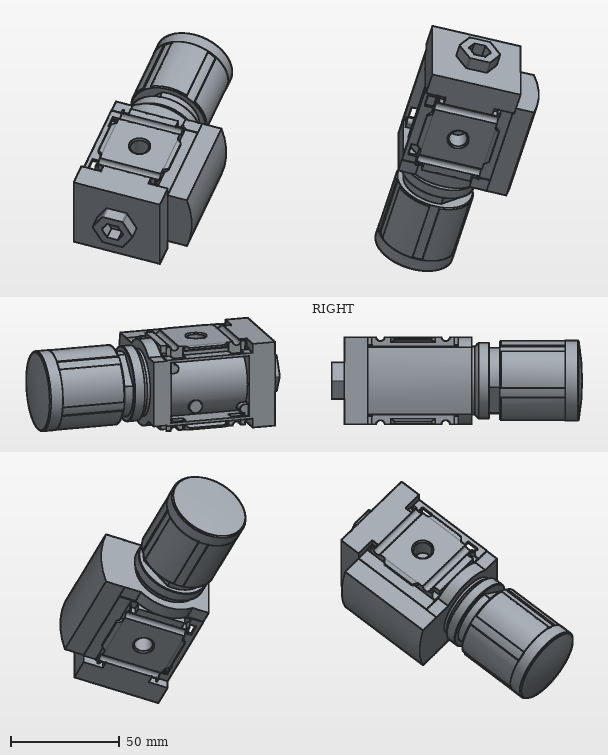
import cadquery as cq
import math


HALF_WIDTH = 21.1
HALF_HEIGHT = 20.1
MIDDLE_HALF_LENGTH = 20.8
SHELF_HALF_HEIGHT = 15.8
BASE_FRONT = -31.6
PLATE_BACK = 27.05
PLATE_HALF_HEIGHT = 15.4

CAP_HALF_HEIGHT = 15.5
CAP_SHOULDER_X = 30.5
CAP_CROWN_X = 32.9

PAD_HALF_WIDTH = 15.0
GROOVE_CENTER_Y = 15.05
GROOVE_WIDTH = 3.9
GROOVE_DEPTH = 1.8
PORT_DIAMETER = 8.57
PORT_MOUTH_DIAMETER = 10.0
PORT_DEPTH = 10.0
RAIL_END_Y = 17.3
CORNER_POCKET_WIDTH = 3.4
CORNER_POCKET_FLOOR_Z = 16.45
CORNER_POST_WIDTH = 1.0
CORNER_POST_LENGTH = 1.7
CORNER_POST_RADIUS = 0.7

TAB_REACH = 2.2
TAB_ROOT_HALF_LENGTH = 10.2
TAB_TIP_HALF_LENGTH = 8.5
TAB_TIP_TOP_Z = 19.65
TAB_TIP_BOTTOM_Z = 18.75
TAB_ROOT_Z = 17.6

WINDOW_FRONT = -19.0
WINDOW_BACK = 18.65
WINDOW_HALF_HEIGHT = 14.44
CORE_DIAMETER = 33.0
CORE_X = -2.2
SLOT_INNER_Y = 11.0
SLOT_OUTER_Y = 17.0
SLOT_OUTER_X = -19.1
SLOT_INNER_X = -14.92
PIN_DIAMETER = 6.1
PIN_END_X = -18.3
PIN_Y = 5.8
PIN_Z = -8.5
LUG_RADIUS = 2.1
LUG_FACE_X = -20.1
LUG_LENGTH = 1.85
LUG_CENTER_Z = 11.0

PLUG_FRONT = -37.5
PLUG_ACROSS_FLATS = 17.0
PLUG_CORNER_RADIUS = 0.6
SOCKET_ACROSS_FLATS = 9.0
SOCKET_DEPTH = 6.0

SPIGOT_RADIUS = 15.8
SPIGOT_BACK = 28.5
COLLAR_RADIUS = 17.5
COLLAR_FRONT = 30.2
COLLAR_BACK = 35.1
COLLAR_BEVEL = 0.3
NECK_RADIUS = 15.2
NECK_FLAT_DISTANCE = 12.7
NECK_FLAT_ANGLE = 45

KNOB_FRONT = 40.0
KNOB_RIM_FRONT = 70.1
KNOB_RIM_BACK = 76.45
KNOB_CROWN_Y = 78.0
RIM_RADIUS = 18.6
SLEEVE_RADIUS = 18.5
KNOB_BEVEL = 0.6
KNOB_GROOVE_COUNT = 5
KNOB_GROOVE_DEPTH = 0.6
KNOB_GROOVE_HALF_ANGLE = 7.4
KNOB_FIRST_GROOVE_ANGLE = 36


def box(x_range, y_range, z_range):
    """Axis-aligned box between the given limits."""
    size = [high - low for low, high in (x_range, y_range, z_range)]
    start = cq.Vector(x_range[0], y_range[0], z_range[0])
    return cq.Workplane(cq.Solid.makeBox(*size, start))


def cylinder_y(radius, front, back):
    """Cylinder on the Y axis between two Y positions."""
    solid = cq.Solid.makeCylinder(radius, back - front, cq.Vector(0, front, 0), cq.Vector(0, 1, 0))
    return cq.Workplane(solid)


def plane_facing_front(y):
    """XZ sketch plane at the given Y; extruding forwards goes toward -Y."""
    return cq.Workplane("XZ", origin=(0, y, 0))


def hexagon_y(across_flats, front, back):
    """Hexagonal prism along Y with two flats facing up and down."""
    corner_diameter = across_flats / math.cos(math.radians(30))
    return plane_facing_front(back).polygon(6, corner_diameter).extrude(back - front)


def mirrored_x(shape):
    """The shape together with its mirror image across the YZ plane."""
    return shape.union(shape.mirror("YZ"))


def mirrored_y(shape):
    """The shape together with its mirror image across the XZ plane."""
    return shape.union(shape.mirror("XZ"))


def mirrored_z(shape):
    """The shape together with its mirror image across the XY plane."""
    return shape.union(shape.mirror("XY"))


def make_frame():
    """Base block, shelf-high middle and the back plate with its round bulge."""
    across = (-HALF_WIDTH, HALF_WIDTH)
    base = box(across, (BASE_FRONT, -MIDDLE_HALF_LENGTH), (-HALF_HEIGHT, HALF_HEIGHT))
    middle = box(
        across,
        (-MIDDLE_HALF_LENGTH, MIDDLE_HALF_LENGTH),
        (-SHELF_HALF_HEIGHT, SHELF_HALF_HEIGHT),
    )
    plate = box(
        across,
        (MIDDLE_HALF_LENGTH, PLATE_BACK),
        (-PLATE_HALF_HEIGHT, PLATE_HALF_HEIGHT),
    )
    bulge = cylinder_y(HALF_HEIGHT, MIDDLE_HALF_LENGTH, PLATE_BACK)
    return base.union(middle).union(plate).union(bulge)


def make_side_cap():
    """Cap on the +X face with a crowned outer side."""
    return (
        plane_facing_front(PLATE_BACK)
        .moveTo(HALF_WIDTH, -CAP_HALF_HEIGHT)
        .lineTo(CAP_SHOULDER_X, -CAP_HALF_HEIGHT)
        .threePointArc((CAP_CROWN_X, 0), (CAP_SHOULDER_X, CAP_HALF_HEIGHT))
        .lineTo(HALF_WIDTH, CAP_HALF_HEIGHT)
        .close()
        .extrude(PLATE_BACK + MIDDLE_HALF_LENGTH)
    )


def make_pad_groove():
    """Round-bottomed groove along X near the +Y end of the top pad."""
    half_width = GROOVE_WIDTH / 2
    return (
        cq.Workplane("YZ", origin=(-PAD_HALF_WIDTH, 0, 0))
        .moveTo(GROOVE_CENTER_Y - half_width, HALF_HEIGHT)
        .threePointArc(
            (GROOVE_CENTER_Y, HALF_HEIGHT - GROOVE_DEPTH),
            (GROOVE_CENTER_Y + half_width, HALF_HEIGHT),
        )
        .close()
        .extrude(2 * PAD_HALF_WIDTH)
    )


def make_corner_pocket():
    """Pocket in the (+X, +Y) corner of the top pad, leaving a small rounded post."""
    heights = (CORNER_POCKET_FLOOR_Z, HALF_HEIGHT)
    pocket = box(
        (PAD_HALF_WIDTH - CORNER_POCKET_WIDTH, PAD_HALF_WIDTH),
        (RAIL_END_Y, MIDDLE_HALF_LENGTH),
        heights,
    )
    post = box(
        (PAD_HALF_WIDTH - CORNER_POST_WIDTH, PAD_HALF_WIDTH),
        (RAIL_END_Y, RAIL_END_Y + CORNER_POST_LENGTH),
        heights,
    )
    post = post.edges("|Z and <X and >Y").fillet(CORNER_POST_RADIUS)
    return pocket.cut(post)


def make_pad_tab():
    """Wedge on the -X side of the top pad, with slanted ends, a blunt tip and a sloping underside."""
    tip_x = -PAD_HALF_WIDTH - TAB_REACH
    wedge = (
        plane_facing_front(TAB_ROOT_HALF_LENGTH)
        .moveTo(-PAD_HALF_WIDTH, HALF_HEIGHT)
        .lineTo(tip_x, TAB_TIP_TOP_Z)
        .lineTo(tip_x, TAB_TIP_BOTTOM_Z)
        .lineTo(-PAD_HALF_WIDTH, TAB_ROOT_Z)
        .close()
        .extrude(2 * TAB_ROOT_HALF_LENGTH)
    )
    outline = (
        cq.Workplane("XY", origin=(0, 0, TAB_ROOT_Z))
        .moveTo(-PAD_HALF_WIDTH, -TAB_ROOT_HALF_LENGTH)
        .lineTo(tip_x, -TAB_TIP_HALF_LENGTH)
        .lineTo(tip_x, TAB_TIP_HALF_LENGTH)
        .lineTo(-PAD_HALF_WIDTH, TAB_ROOT_HALF_LENGTH)
        .close()
        .extrude(HALF_HEIGHT - TAB_ROOT_Z)
    )
    return wedge.intersect(outline)


def make_top_pad():
    """Raised port pad on the upper shelf."""
    pad = box(
        (-PAD_HALF_WIDTH, PAD_HALF_WIDTH),
        (-MIDDLE_HALF_LENGTH, MIDDLE_HALF_LENGTH),
        (SHELF_HALF_HEIGHT, HALF_HEIGHT),
    )
    pad = pad.cut(mirrored_y(make_pad_groove()))
    pad = pad.cut(mirrored_y(mirrored_x(make_corner_pocket())))
    return pad.union(mirrored_x(make_pad_tab()))


def make_top_port():
    """Blind port hole with a chamfered mouth, opening upward."""
    mouth_radius = PORT_MOUTH_DIAMETER / 2
    radius = PORT_DIAMETER / 2
    chamfer = mouth_radius - radius
    return (
        cq.Workplane("XZ")
        .moveTo(0, HALF_HEIGHT)
        .lineTo(mouth_radius, HALF_HEIGHT)
        .lineTo(radius, HALF_HEIGHT - chamfer)
        .lineTo(radius, HALF_HEIGHT - PORT_DEPTH)
        .lineTo(0, HALF_HEIGHT - PORT_DEPTH)
        .close()
        .revolve(360, (0, 0), (0, 1))
    )


def make_window():
    """Opening in the -X face around the core."""
    opening = box(
        (-HALF_WIDTH, CORE_X),
        (WINDOW_FRONT, WINDOW_BACK),
        (-WINDOW_HALF_HEIGHT, WINDOW_HALF_HEIGHT),
    )
    core = cylinder_y(CORE_DIAMETER / 2, WINDOW_FRONT, WINDOW_BACK).translate((CORE_X, 0, 0))
    return opening.cut(core)


def make_shelf_slot():
    """Slot down the side of the top pad and through the shelf into the window, near the +Y end."""
    return box(
        (SLOT_OUTER_X, SLOT_INNER_X),
        (SLOT_INNER_Y, SLOT_OUTER_Y),
        (WINDOW_HALF_HEIGHT, HALF_HEIGHT),
    )


def make_window_pin():
    """Round pin standing out of the core toward -X."""
    start = cq.Vector(PIN_END_X, PIN_Y, PIN_Z)
    return cq.Workplane(cq.Solid.makeCylinder(PIN_DIAMETER / 2, -PIN_END_X, start, cq.Vector(1, 0, 0)))


def make_window_lugs():
    """Round-ended lugs in two opposite corners of the window."""
    center_y = WINDOW_BACK - LUG_LENGTH
    start = cq.Vector(LUG_FACE_X, center_y, LUG_CENTER_Z)
    nose = cq.Solid.makeCylinder(LUG_RADIUS, -LUG_FACE_X, start, cq.Vector(1, 0, 0))
    root = box(
        (LUG_FACE_X, 0),
        (center_y, WINDOW_BACK),
        (LUG_CENTER_Z - LUG_RADIUS, WINDOW_HALF_HEIGHT),
    )
    lug = root.union(cq.Workplane(nose))
    window_center_y = (WINDOW_FRONT + WINDOW_BACK) / 2
    opposite = lug.rotate((0, window_center_y, 0), (1, window_center_y, 0), 180)
    return lug.union(opposite)


def make_plug():
    """Hexagonal plug with rounded corners."""
    plug = hexagon_y(PLUG_ACROSS_FLATS, PLUG_FRONT, BASE_FRONT)
    return plug.edges("|Y").fillet(PLUG_CORNER_RADIUS)


def make_collar_and_neck():
    """Stepped round neck on the back plate, with two wrench flats behind the collar."""
    collar = (
        cq.Workplane("XY")
        .moveTo(0, PLATE_BACK)
        .lineTo(SPIGOT_RADIUS, PLATE_BACK)
        .lineTo(SPIGOT_RADIUS, SPIGOT_BACK)
        .lineTo(COLLAR_RADIUS, COLLAR_FRONT)
        .lineTo(COLLAR_RADIUS, COLLAR_BACK - COLLAR_BEVEL)
        .lineTo(COLLAR_RADIUS - COLLAR_BEVEL, COLLAR_BACK)
        .lineTo(0, COLLAR_BACK)
        .close()
        .revolve(360, (0, 0), (0, 1))
    )
    neck = cylinder_y(NECK_RADIUS, COLLAR_BACK, KNOB_FRONT)
    between_flats = box(
        (-NECK_RADIUS, NECK_RADIUS),
        (COLLAR_BACK, KNOB_FRONT),
        (-NECK_FLAT_DISTANCE, NECK_FLAT_DISTANCE),
    ).rotate((0, 0, 0), (0, 1, 0), -NECK_FLAT_ANGLE)
    return collar.union(neck.intersect(between_flats))


def make_housing():
    """The regulator housing with its cap, plug and neck."""
    housing = make_frame().union(make_side_cap())
    housing = housing.union(mirrored_z(make_top_pad()))
    housing = housing.cut(make_window())
    housing = housing.cut(mirrored_z(mirrored_y(make_shelf_slot())))
    housing = housing.union(make_window_pin()).union(make_window_lugs())
    housing = housing.cut(mirrored_z(make_top_port()))
    housing = housing.union(make_plug())
    housing = housing.cut(hexagon_y(SOCKET_ACROSS_FLATS, PLUG_FRONT, PLUG_FRONT + SOCKET_DEPTH))
    return housing.union(make_collar_and_neck())


def make_knob_groove():
    """Shallow lengthwise groove at the top of the knob sleeve."""
    floor_radius = SLEEVE_RADIUS - KNOB_GROOVE_DEPTH
    length = KNOB_RIM_FRONT - KNOB_FRONT
    ring = cylinder_y(RIM_RADIUS, KNOB_FRONT, KNOB_RIM_FRONT)
    ring = ring.cut(cylinder_y(floor_radius, KNOB_FRONT, KNOB_RIM_FRONT))
    half_spread = RIM_RADIUS * math.tan(math.radians(KNOB_GROOVE_HALF_ANGLE))
    sector = (
        plane_facing_front(KNOB_RIM_FRONT)
        .moveTo(0, 0)
        .lineTo(half_spread, RIM_RADIUS)
        .lineTo(-half_spread, RIM_RADIUS)
        .close()
        .extrude(length)
    )
    return ring.intersect(sector)


def make_knob():
    """Turning knob: grooved sleeve, plain rim and domed end."""
    edge_radius = RIM_RADIUS - KNOB_BEVEL
    crown_radius_middle = edge_radius / 2
    rise = KNOB_CROWN_Y - KNOB_RIM_BACK
    dome_radius = (edge_radius**2 + rise**2) / (2 * rise)
    middle_y = KNOB_CROWN_Y - dome_radius + math.sqrt(dome_radius**2 - crown_radius_middle**2)
    knob = (
        cq.Workplane("XY")
        .moveTo(0, KNOB_FRONT)
        .lineTo(SLEEVE_RADIUS - KNOB_BEVEL, KNOB_FRONT)
        .lineTo(SLEEVE_RADIUS, KNOB_FRONT + KNOB_BEVEL)
        .lineTo(SLEEVE_RADIUS, KNOB_RIM_FRONT)
        .lineTo(RIM_RADIUS, KNOB_RIM_FRONT)
        .lineTo(RIM_RADIUS, KNOB_RIM_BACK - KNOB_BEVEL)
        .lineTo(edge_radius, KNOB_RIM_BACK)
        .threePointArc((crown_radius_middle, middle_y), (0, KNOB_CROWN_Y))
        .close()
        .revolve(360, (0, 0), (0, 1))
    )
    groove = make_knob_groove()
    for index in range(KNOB_GROOVE_COUNT):
        angle = KNOB_FIRST_GROOVE_ANGLE + index * 360 / KNOB_GROOVE_COUNT
        knob = knob.cut(groove.rotate((0, 0, 0), (0, 1, 0), angle))
    return knob


housing = make_housing()
knob = make_knob()

result = cq.Compound.makeCompound([housing.val(), knob.val()])